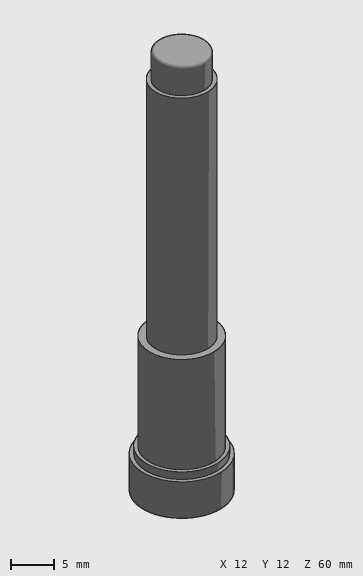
import cadquery as cq

total_length = 60.0
head_diameter = 12.0
head_height = 5.0
collar_diameter = 11.0
collar_height = 1.0
body_diameter = 10.0
body_height = 15.0
shaft_diameter = 8.1
tip_diameter = 7.0
tip_height = 4.0
tip_edge_radius = 0.5

shaft_height = total_length - head_height - collar_height - body_height - tip_height


def add_step(part, diameter, height):
    """Stack a coaxial cylinder on the top face of the part."""
    return part.faces(">Z").workplane().circle(diameter / 2).extrude(height)


result = cq.Workplane("XY").circle(head_diameter / 2).extrude(head_height)
result = add_step(result, collar_diameter, collar_height)
result = add_step(result, body_diameter, body_height)
result = add_step(result, shaft_diameter, shaft_height)
result = add_step(result, tip_diameter, tip_height)

result = result.faces(">Z").edges().fillet(tip_edge_radius)